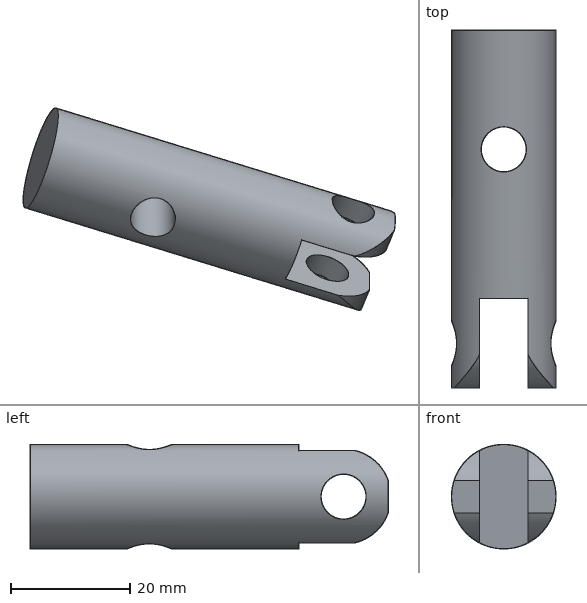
import cadquery as cq

length = 60.0
diameter = 17.5
hole_diameter = 7.5
cross_hole_from_back = 20.0
pin_hole_from_tip = 7.5
slot_width = 8.1
slot_depth = 15.0
tip_radius = 8.0

radius = diameter / 2


def make_rod():
    return cq.Workplane("XZ").circle(radius).extrude(-length)


def make_slot():
    return cq.Workplane("XY").box(slot_width, slot_depth, diameter, centered=(True, False, True))


def make_cylinder(plane, position_y, cylinder_radius):
    """Cylinder spanning the rod, crossing its axis at the given Y."""
    return cq.Workplane(plane, origin=(0, position_y, 0)).circle(cylinder_radius).extrude(radius, both=True)


def make_tip_waste():
    """Material in front of the pin hole that lies outside the rounded tip."""
    tip_block = cq.Workplane("XY").box(
        diameter, pin_hole_from_tip, diameter, centered=(True, False, True)
    )
    return tip_block.cut(make_cylinder("YZ", pin_hole_from_tip, tip_radius))


cross_hole = make_cylinder("XY", length - cross_hole_from_back, hole_diameter / 2)
pin_hole = make_cylinder("YZ", pin_hole_from_tip, hole_diameter / 2)

result = make_rod().cut(make_slot()).cut(make_tip_waste()).cut(cross_hole).cut(pin_hole)